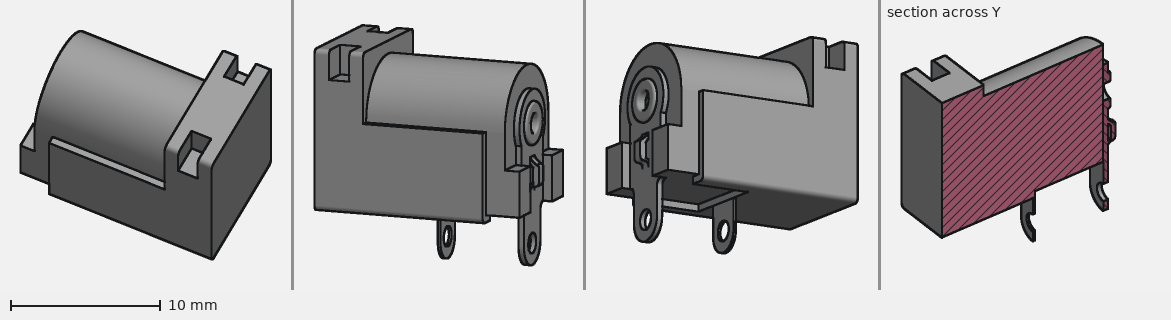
import cadquery as cq
import math

length = 14.5
height = 14.5
width = 9.0
floor_z = 3.5
block_front = 2.4
flange_front = 11.0
corner_radius = 0.35
barrel_radius = 3.95
barrel_front = 1.05
axis_z = 9.67

lug_bottom = 4.0
lug_top = 7.15

notch_front = 12.0
notch_length = 1.45
notch_depth_y = 2.03
notch_depth_z = 2.02

channel_width = 6.35

plate_front = 0.64
plate_width = 3.92
eye_radius = 2.3
tab_radius = 1.5
tab_hole_radius = 0.7
shoulder_radius = plate_width / 2 - tab_radius
plate_thickness = barrel_front - plate_front

rivet_radius = 1.5
rivet_height = 0.22
rivet_round = 0.19
rivet_hole_radius = 0.67
rivet_hole_round = 0.16

bridge_width = 0.75
bridge_top = 7.41
bridge_bottom = 5.08
bridge_thickness = 0.44
bridge_bend_top = 6.7
bridge_bend_bottom = 5.77
bridge_slope_front = 0.17
bridge_slope_bottom = 6.9
bridge_slope_back = 0.42
bridge_slope_top = 7.1
bridge_gap_top = 6.96
bridge_gap_bottom = 5.58

leg_front = 6.71
leg_thickness = 0.2
leg_radius = 1.3


def box(x0, x1, y0, y1, z0, z1):
    """Box between opposite corners."""
    return cq.Workplane("XY").box(x1 - x0, y1 - y0, z1 - z0, centered=False).translate((x0, y0, z0))


def rod(x0, x1, radius, z):
    """Cylinder along X, centred on Y = 0."""
    return cq.Workplane("YZ", origin=(x0, 0, z)).circle(radius).extrude(x1 - x0)


def make_housing():
    half = width / 2
    flange = box(flange_front, length, -half, half, floor_z, height)
    base = box(block_front, length, -half, half, floor_z, axis_z)
    flange = flange.edges("|X").fillet(corner_radius)
    base = base.edges("|X and <Z").fillet(corner_radius)
    body = base.union(flange)

    body = body.cut(
        box(block_front, leg_front, -channel_width / 2, channel_width / 2, floor_z, lug_bottom)
    )

    body = body.union(rod(barrel_front, length, barrel_radius, axis_z))
    body = body.union(
        box(barrel_front, flange_front, -barrel_radius, barrel_radius, lug_bottom, axis_z)
    )

    for side in (-1, 1):
        lug_inner, lug_outer = sorted((side * plate_width / 2, side * barrel_radius))
        body = body.union(box(0, barrel_front, lug_inner, lug_outer, lug_bottom, lug_top))
        y0, y1 = sorted((side * half, side * (half - notch_depth_y)))
        body = body.cut(
            box(notch_front, notch_front + notch_length, y0, y1, height - notch_depth_z, height)
        )
    return body


def make_plate():
    half = plate_width / 2
    shoulder_mid = shoulder_radius * math.sqrt(0.5)
    shoulder_z = lug_bottom - shoulder_radius
    plate = (
        cq.Workplane("YZ", origin=(plate_front, 0, 0))
        .moveTo(-half, axis_z)
        .lineTo(-half, lug_bottom)
        .threePointArc((-half + shoulder_mid, shoulder_z + shoulder_mid), (-tab_radius, shoulder_z))
        .lineTo(-tab_radius, tab_radius)
        .threePointArc((0, 0), (tab_radius, tab_radius))
        .lineTo(tab_radius, shoulder_z)
        .threePointArc((half - shoulder_mid, shoulder_z + shoulder_mid), (half, lug_bottom))
        .lineTo(half, axis_z)
        .close()
        .extrude(plate_thickness)
    )
    plate = plate.union(rod(plate_front, barrel_front, eye_radius, axis_z))
    return plate.cut(rod(plate_front, barrel_front, tab_hole_radius, tab_radius))


def make_rivet():
    rivet_front = plate_front - rivet_height
    rivet = rod(rivet_front, barrel_front, rivet_radius, axis_z)
    return rivet.faces("<X").edges().fillet(rivet_round)


def make_rivet_hole():
    """Hole through the rivet and plate, with a rounded mouth."""
    mouth_x = plate_front - rivet_height
    mouth_radius = rivet_hole_radius + rivet_hole_round
    round_mid = rivet_hole_round * (1 - math.sqrt(0.5))
    return (
        cq.Workplane("XZ", origin=(0, 0, axis_z))
        .moveTo(mouth_x, 0)
        .lineTo(mouth_x, mouth_radius)
        .threePointArc(
            (mouth_x + round_mid, rivet_hole_radius + round_mid),
            (mouth_x + rivet_hole_round, rivet_hole_radius),
        )
        .lineTo(barrel_front, rivet_hole_radius)
        .lineTo(barrel_front, 0)
        .close()
        .revolve(360, (0, 0, 0), (1, 0, 0))
    )


def make_bridge():
    inner_x = bridge_thickness
    foot_middle = (plate_front / 2, (bridge_bottom + bridge_bend_bottom) / 2)
    return (
        cq.Workplane("XZ", origin=(0, bridge_width / 2, 0))
        .moveTo(0, bridge_bend_bottom)
        .lineTo(0, bridge_bend_top)
        .tangentArcPoint((bridge_slope_front, bridge_slope_bottom), relative=False)
        .lineTo(bridge_slope_back, bridge_slope_top)
        .tangentArcPoint((plate_front, bridge_top), relative=False)
        .lineTo(plate_front, bridge_gap_top)
        .lineTo(inner_x, bridge_bend_top)
        .lineTo(inner_x, bridge_gap_bottom)
        .lineTo(plate_front, bridge_gap_bottom)
        .lineTo(plate_front, bridge_bottom)
        .spline([foot_middle], tangents=[(0, 1), (-1, 0)], includeCurrent=True)
        .spline([(0, bridge_bend_bottom)], tangents=[(-1, 0), (0, 1)], includeCurrent=True)
        .close()
        .extrude(bridge_width)
    )


def make_terminal():
    plate = make_plate().union(make_rivet()).cut(make_rivet_hole())
    return plate.union(make_bridge())


def make_leg():
    leg_back = leg_front + leg_thickness
    leg = box(leg_front, leg_back, -leg_radius, leg_radius, leg_radius, floor_z)
    leg = leg.union(rod(leg_front, leg_back, leg_radius, leg_radius))
    return leg.cut(rod(leg_front, leg_back, tab_hole_radius, tab_radius))


housing = make_housing()
terminal = make_terminal()
leg = make_leg()

result = cq.Compound.makeCompound([housing.val(), terminal.val(), leg.val()])